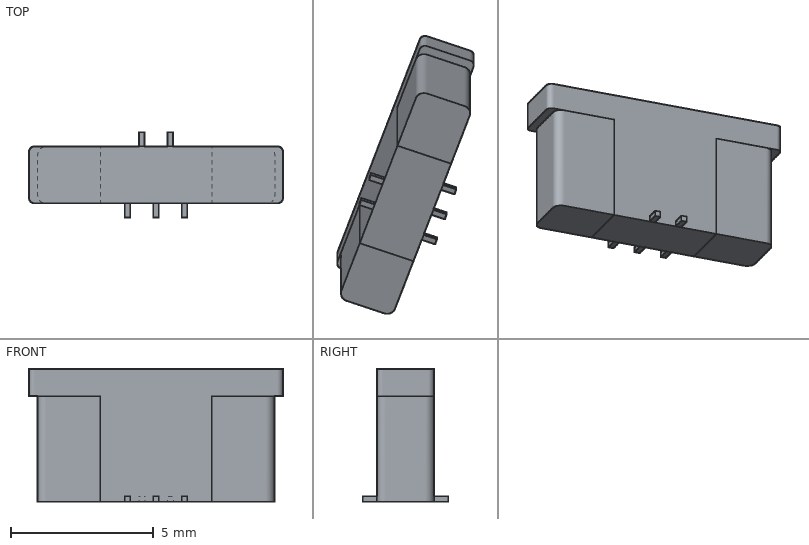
import cadquery as cq

total_height = 4.65
depth = 2.0
cap_length = 8.9
cap_height = 0.95
cap_corner_radius = 0.2
core_length = 3.9
core_height = total_height - cap_height

lower_length = 8.3
block_length = (lower_length - core_length) / 2
block_corner_radius = 0.3

pin_width = 0.2
pin_height = 0.2
pin_reach = 0.5
pin_pitch = 1.0
front_pin_count = 3
back_pin_count = 2


def make_housing():
    cap = (
        cq.Workplane("XY", origin=(0, 0, core_height))
        .rect(cap_length, depth)
        .extrude(cap_height)
        .edges("|Z")
        .fillet(cap_corner_radius)
    )
    core = cq.Workplane("XY").rect(core_length, depth).extrude(core_height)
    return cap.union(core)


def make_side_block(side):
    """Block on the given side of the core (-1 or +1), rounded on its outer upright edges."""
    center_x = side * (core_length + block_length) / 2
    outer_face = ">X" if side > 0 else "<X"
    return (
        cq.Workplane("XY", origin=(center_x, 0, 0))
        .rect(block_length, depth)
        .extrude(core_height)
        .faces(outer_face)
        .edges("|Z")
        .fillet(block_corner_radius)
    )


def make_pin(center_x, side):
    """Pin standing out from the front (-1) or back (+1) face of the core, flush with its base."""
    center_y = side * (depth + pin_reach) / 2
    return (
        cq.Workplane("XY", origin=(center_x, center_y, 0))
        .rect(pin_width, pin_reach)
        .extrude(pin_height)
    )


def make_pin_row(count, side):
    first_x = -(count - 1) * pin_pitch / 2
    return [make_pin(first_x + i * pin_pitch, side) for i in range(count)]


housing = make_housing()
side_blocks = [make_side_block(side) for side in (-1, 1)]
pins = make_pin_row(front_pin_count, -1) + make_pin_row(back_pin_count, 1)

bodies = [housing, *side_blocks, *pins]
result = cq.Compound.makeCompound([body.val() for body in bodies])